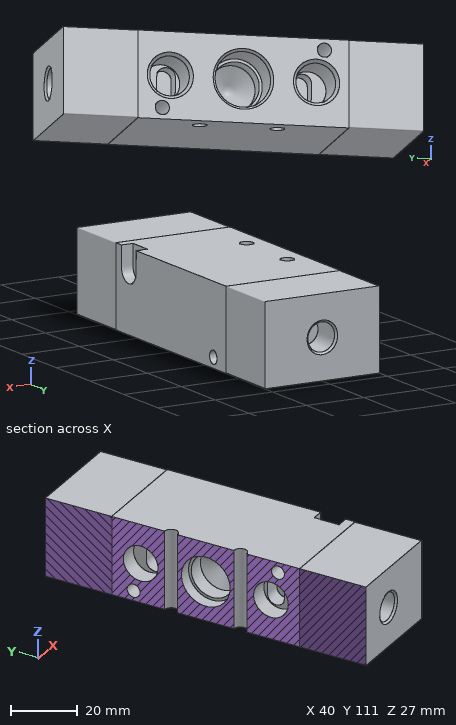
import cadquery as cq

overall_length = 111.0
width = 40.0
height = 27.0
body_length = 65.0
cap_length = (overall_length - body_length) / 2
cap_edge_fillet = 0.3

port_taper = 1 / 16

supply_port_mouth = 18.6
supply_port_bore = 17.1
supply_port_depth = 10.4
supply_drill_diameter = 14.7
supply_drill_depth = 5.5
supply_cone_depth = 4.4
side_port_mouth = 14.2
side_port_bore = 12.2
side_port_depth = 12.2
side_port_offset = 22.5
passage_width = 5.8
passage_height = 9.9
passage_depth = 5.5
passage_shift = 1.5

pilot_port_mouth = 10.7
pilot_port_bore = 9.3
pilot_port_depth = 10.0

screw_hole_diameter = 4.3
cross_hole_y = 25.0
cross_hole_z = 10.0
vertical_hole_y = 12.0
vertical_hole_inset = 6.4

notch_width = 8.5
notch_inset = 4.0
notch_y = -24.9
notch_arc_center_z = 6.7


def port_cutter(mouth_diameter, bore_diameter, depth):
    """Tapered blind bore along +X from the origin, with a 45 degree countersink at its mouth."""
    mouth_radius = mouth_diameter / 2
    bore_radius = bore_diameter / 2
    countersink_depth = mouth_radius - bore_radius
    floor_radius = bore_radius - port_taper * (depth - countersink_depth) / 2
    return (
        cq.Workplane("XY")
        .lineTo(0, mouth_radius)
        .lineTo(countersink_depth, bore_radius)
        .lineTo(depth, floor_radius)
        .lineTo(depth, 0)
        .close()
        .revolve(360, (0, 0, 0), (1, 0, 0))
    )


def supply_port():
    """Central port, with a cone-ended drill hole in its floor."""
    drill_radius = supply_drill_diameter / 2
    drill_end = supply_port_depth + supply_drill_depth
    bore = port_cutter(supply_port_mouth, supply_port_bore, supply_port_depth)
    drill_hole = (
        cq.Workplane("XY")
        .lineTo(0, drill_radius)
        .lineTo(drill_end, drill_radius)
        .lineTo(drill_end + supply_cone_depth, 0)
        .close()
        .revolve(360, (0, 0, 0), (1, 0, 0))
    )
    return bore.union(drill_hole).translate((-width / 2, 0, 0))


def side_port(side):
    """Outer port at +Y (side = 1) or -Y (side = -1), with an oblong passage in its floor."""
    bore = port_cutter(side_port_mouth, side_port_bore, side_port_depth)
    passage = (
        cq.Workplane("YZ")
        .center(-side * passage_shift, 0)
        .slot2D(passage_height, passage_width, 90)
        .extrude(side_port_depth + passage_depth)
    )
    return bore.union(passage).translate((-width / 2, side * side_port_offset, 0))


def cross_holes():
    """Two diagonally placed holes through the body along X."""
    return (
        cq.Workplane("YZ")
        .pushPoints([(cross_hole_y, -cross_hole_z), (-cross_hole_y, cross_hole_z)])
        .circle(screw_hole_diameter / 2)
        .extrude(width / 2, both=True)
    )


def vertical_holes():
    """Two holes through the body along Z, near its -X face."""
    hole_x = -width / 2 + vertical_hole_inset
    return (
        cq.Workplane("XY")
        .pushPoints([(hole_x, vertical_hole_y), (hole_x, -vertical_hole_y)])
        .circle(screw_hole_diameter / 2)
        .extrude(height / 2, both=True)
    )


def notch():
    """U-shaped notch, open to the top and to the +X side."""
    half_width = notch_width / 2
    return (
        cq.Workplane("YZ", origin=(width / 2 - notch_inset, notch_y, 0))
        .moveTo(-half_width, height / 2)
        .lineTo(-half_width, notch_arc_center_z)
        .threePointArc((0, notch_arc_center_z - half_width), (half_width, notch_arc_center_z))
        .lineTo(half_width, height / 2)
        .close()
        .extrude(notch_inset)
    )


def make_valve_body():
    valve_body = cq.Workplane("XY").box(width, body_length, height)
    valve_body = valve_body.cut(supply_port())
    for side in (1, -1):
        valve_body = valve_body.cut(side_port(side))
    return valve_body.cut(cross_holes()).cut(vertical_holes()).cut(notch())


def make_end_cap(side):
    """End cap at +Y (side = 1) or -Y (side = -1) with a pilot port in its outer face."""
    cap_center_y = side * (body_length + cap_length) / 2
    block = (
        cq.Workplane("XY")
        .box(width, cap_length, height)
        .edges("|Y")
        .fillet(cap_edge_fillet)
        .translate((0, cap_center_y, 0))
    )
    pilot_port = (
        port_cutter(pilot_port_mouth, pilot_port_bore, pilot_port_depth)
        .rotate((0, 0, 0), (0, 0, 1), -side * 90)
        .translate((0, side * overall_length / 2, 0))
    )
    return block.cut(pilot_port)


valve_body = make_valve_body()
end_caps = [make_end_cap(side) for side in (1, -1)]

result = cq.Compound.makeCompound([valve_body.val(), *[cap.val() for cap in end_caps]])